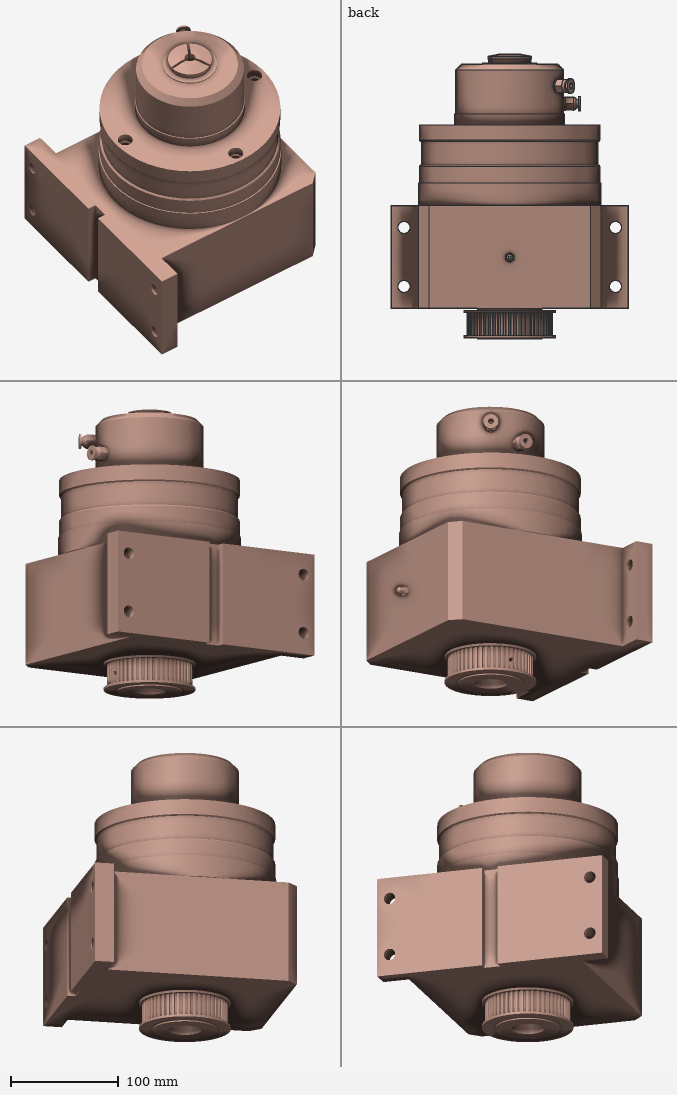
import cadquery as cq
TOTAL_HEIGHT = 264.0
MOUNT_WIDTH = 220.0
TOTAL_DEPTH = 210.0

MOUNT_FACE_Y = -109.8
MOUNT_THICKNESS = 17.7
BODY_WIDTH = 169.5
BODY_BACK_Y = 89.5
BODY_CORNER_CHAMFER = 10.0
BRACKET_BOTTOM = 28.5
BRACKET_HEIGHT = 95.0
BRACKET_TOP = BRACKET_BOTTOM + BRACKET_HEIGHT
KEYWAY_WIDTH = 15.3
KEYWAY_DEPTH = 8.0
MOUNT_HOLE_DIAMETER = 11.0
MOUNT_HOLE_SPACING_X = 196.0
MOUNT_HOLE_SPACING_Z = 54.6

BASE_RING_DIAMETER = 169.5
BASE_RING_TOP = 144.5
BASE_RING_CHAMFER = 0.8
BEARING_DIAMETER = 167.6
BEARING_LIP_TOP = 161.0
BEARING_FLANGE_BOTTOM = 183.2
BEARING_TOP = 198.5
BEARING_CHAMFER = 1.0
WAIST_DIAMETER = 164.0

SCREW_COUNT = 4
SCREW_CIRCLE_RADIUS = 73.5
COUNTERBORE_DIAMETER = 14.0
COUNTERBORE_DEPTH = 7.7
CLEARANCE_DIAMETER = 8.7
THREAD_DIAMETER = 5.5
THREAD_LEAD_IN_DIAMETER = 6.9
THREAD_LEAD_IN_DEPTH = 1.3
THREAD_DEPTH = 10.5

NOSE_DIAMETER = 100.0
NOSE_BAND_DIAMETER = 102.0
NOSE_BAND_TOP = 208.5
NOSE_TOP = 254.8
NOSE_CHAMFER = 5.5

SPINDLE_DIAMETER = 50.2
SPINDLE_TOP = 255.8
SPINDLE_BORE = 30.4
MOUTH_DIAMETER = 39.0
MOUTH_DEPTH = 6.5

COLLET_DIAMETER = 40.7
COLLET_RIM_BOTTOM = 259.2
COLLET_RIM_TOP = 262.0
COLLET_FACE_DIAMETER = 19.0
COLLET_BORE = 10.0
COLLET_LENGTH = 79.2
COLLET_TAIL_BORE = 23.8
COLLET_TAIL_LENGTH = 26.5
COLLET_SLOT_WIDTH = 2.6
COLLET_SLOTS = 3

TOOTH_COUNT = 50
PULLEY_TIP_DIAMETER = 79.2
TOOTH_GAP_DEPTH = 1.8
GAP_MOUTH_WIDTH = 2.6
GAP_FLOOR_WIDTH = 1.8
HUB_DIAMETER = 60.0
FLANGE_DIAMETER = 85.0
FLANGE_THICKNESS = 2.0
LOWER_FLANGE_BOTTOM = 1.0
UPPER_FLANGE_BOTTOM = 24.5
SET_SCREW_DIAMETER = 4.2
SET_SCREW_Z = 13.2

FITTING_PLACES = [(180, 218.0), (150, 234.5)]
FITTING_STEM_DIAMETER = 10.0
FITTING_STEM_START = 45.0
FITTING_HEX_START = 51.7
FITTING_HEX_END = 59.1
FITTING_CONE_END = 61.5
FITTING_CAP_START = 63.5
FITTING_END = 65.5
FITTING_COLLAR_DIAMETER = 12.5
FITTING_HEX_CORNERS = 14.0
FITTING_NECK_DIAMETER = 8.0
FITTING_CAP_DIAMETER = 13.7
FITTING_HOLE_DIAMETER = 5.5
FITTING_HOLE_DEPTH = 8.0

NIPPLE_END_Y = MOUNT_FACE_Y + TOTAL_DEPTH
NIPPLE_Z = 75.5
NIPPLE_HEX_CORNERS = 9.0
NIPPLE_HEX_LENGTH = 3.7
NIPPLE_NECK_DIAMETER = 5.5
NIPPLE_NECK_LENGTH = 1.5
NIPPLE_BEAD_DIAMETER = 6.5
NIPPLE_BEAD_LENGTH = 1.5
NIPPLE_HEAD_DIAMETER = 6.0
NIPPLE_TIP_DIAMETER = 2.6
NIPPLE_TIP_LENGTH = 1.5


def cylinder(diameter, bottom, top):
    """Upright cylinder on the spindle axis."""
    return cq.Workplane("XY").workplane(offset=bottom).circle(diameter / 2).extrude(top - bottom)


def turned(profile):
    """Solid of revolution about the spindle axis from (radius, height) points."""
    return cq.Workplane("XZ").polyline(profile).close().revolve(360, (0, 0), (0, 1))


def make_spindle_passage():
    return cylinder(SPINDLE_DIAMETER, 0, TOTAL_HEIGHT)


def mount_bar(width, depth):
    """Bar of the bracket's full height, reaching from the mounting face by a depth along Y."""
    return (
        cq.Workplane("XY", origin=(0, MOUNT_FACE_Y + depth / 2, BRACKET_BOTTOM))
        .rect(width, abs(depth))
        .extrude(BRACKET_HEIGHT)
    )


def make_bracket():
    bracket = mount_bar(BODY_WIDTH, BODY_BACK_Y - MOUNT_FACE_Y)
    bracket = bracket.edges("|Z and >Y").chamfer(BODY_CORNER_CHAMFER)
    bracket = bracket.union(mount_bar(MOUNT_WIDTH, MOUNT_THICKNESS))
    bracket = bracket.cut(mount_bar(KEYWAY_WIDTH, KEYWAY_DEPTH))
    mount_holes = (
        cq.Workplane("XZ", origin=(0, MOUNT_FACE_Y, BRACKET_BOTTOM + BRACKET_HEIGHT / 2))
        .rarray(MOUNT_HOLE_SPACING_X, MOUNT_HOLE_SPACING_Z, 2, 2)
        .circle(MOUNT_HOLE_DIAMETER / 2)
        .extrude(-MOUNT_THICKNESS)
    )
    return bracket.cut(mount_holes).cut(make_spindle_passage())


def screw_holes(diameter, bottom, top):
    """Upright cylinders on the screw circle."""
    return (
        cq.Workplane("XY")
        .workplane(offset=bottom)
        .polarArray(SCREW_CIRCLE_RADIUS, 0, 360, SCREW_COUNT)
        .circle(diameter / 2)
        .extrude(top - bottom)
    )


def make_base_ring():
    ring = cylinder(BASE_RING_DIAMETER, BRACKET_TOP, BASE_RING_TOP).edges("<Z").chamfer(BASE_RING_CHAMFER)
    ring = ring.cut(screw_holes(THREAD_LEAD_IN_DIAMETER, BASE_RING_TOP - THREAD_LEAD_IN_DEPTH, BASE_RING_TOP))
    ring = ring.cut(screw_holes(THREAD_DIAMETER, BASE_RING_TOP - THREAD_DEPTH, BASE_RING_TOP))
    return ring.cut(make_spindle_passage())


def make_bearing_ring():
    lip = cylinder(BEARING_DIAMETER, BASE_RING_TOP, BEARING_LIP_TOP).edges(">Z").chamfer(BEARING_CHAMFER)
    waist = cylinder(WAIST_DIAMETER, BEARING_LIP_TOP, BEARING_FLANGE_BOTTOM)
    flange = cylinder(BEARING_DIAMETER, BEARING_FLANGE_BOTTOM, BEARING_TOP)
    flange = flange.edges("<Z").chamfer(BEARING_CHAMFER)
    ring = lip.union(waist).union(flange)
    ring = ring.cut(screw_holes(CLEARANCE_DIAMETER, BASE_RING_TOP, BEARING_TOP))
    ring = ring.cut(screw_holes(COUNTERBORE_DIAMETER, BEARING_TOP - COUNTERBORE_DEPTH, BEARING_TOP))
    return ring.cut(make_spindle_passage())


def place_radially(shape, direction, height):
    """Move a shape built along +Z so that it points outwards from the spindle axis."""
    along_x = shape.rotate((0, 0, 0), (0, 1, 0), 90)
    return along_x.rotate((0, 0, 0), (0, 0, 1), direction).translate((0, 0, height))


def make_nose():
    band = cylinder(NOSE_BAND_DIAMETER, BEARING_TOP, NOSE_BAND_TOP)
    cap = cylinder(NOSE_DIAMETER, NOSE_BAND_TOP, NOSE_TOP).edges(">Z").chamfer(NOSE_CHAMFER)
    nose = band.union(cap).cut(make_spindle_passage())
    for direction, height in FITTING_PLACES:
        socket = cylinder(FITTING_STEM_DIAMETER, FITTING_STEM_START, NOSE_DIAMETER)
        nose = nose.cut(place_radially(socket, direction, height))
    return nose


def make_spindle():
    mouth = [
        (0, SPINDLE_TOP - MOUTH_DEPTH),
        (SPINDLE_BORE / 2, SPINDLE_TOP - MOUTH_DEPTH),
        (MOUTH_DIAMETER / 2, SPINDLE_TOP),
        (0, SPINDLE_TOP),
    ]
    shaft = cylinder(SPINDLE_DIAMETER, 0, SPINDLE_TOP)
    return shaft.cut(cylinder(SPINDLE_BORE, 0, SPINDLE_TOP)).cut(turned(mouth))


def make_collet():
    collet_bottom = TOTAL_HEIGHT - COLLET_LENGTH
    tail_top = collet_bottom + COLLET_TAIL_LENGTH
    collet = turned(
        [
            (COLLET_BORE / 2, tail_top),
            (COLLET_TAIL_BORE / 2, tail_top),
            (COLLET_TAIL_BORE / 2, collet_bottom),
            (SPINDLE_BORE / 2, collet_bottom),
            (SPINDLE_BORE / 2, SPINDLE_TOP - MOUTH_DEPTH),
            (MOUTH_DIAMETER / 2, SPINDLE_TOP),
            (MOUTH_DIAMETER / 2, COLLET_RIM_BOTTOM),
            (COLLET_DIAMETER / 2, COLLET_RIM_BOTTOM),
            (COLLET_DIAMETER / 2, COLLET_RIM_TOP),
            (COLLET_FACE_DIAMETER / 2, TOTAL_HEIGHT),
            (COLLET_BORE / 2, TOTAL_HEIGHT),
        ]
    )
    slot = cq.Workplane("XY").box(
        COLLET_DIAMETER, COLLET_SLOT_WIDTH, TOTAL_HEIGHT - tail_top, centered=(False, True, False)
    )
    for index in range(COLLET_SLOTS):
        angle = -90 + index * 360 / COLLET_SLOTS
        collet = collet.cut(slot.translate((0, 0, tail_top)).rotate((0, 0, 0), (0, 0, 1), angle))
    return collet


def make_tooth_gaps(bottom, top):
    tip_radius = PULLEY_TIP_DIAMETER / 2
    floor_radius = tip_radius - TOOTH_GAP_DEPTH
    overshoot = TOOTH_GAP_DEPTH
    gap_outline = [
        (floor_radius, -GAP_FLOOR_WIDTH / 2),
        (tip_radius, -GAP_MOUTH_WIDTH / 2),
        (tip_radius + overshoot, -GAP_MOUTH_WIDTH / 2),
        (tip_radius + overshoot, GAP_MOUTH_WIDTH / 2),
        (tip_radius, GAP_MOUTH_WIDTH / 2),
        (floor_radius, GAP_FLOOR_WIDTH / 2),
    ]
    gap_face = cq.Workplane("XY").workplane(offset=bottom).polyline(gap_outline).close()
    gap = gap_face.extrude(top - bottom).val()
    pitch_angle = 360 / TOOTH_COUNT
    gaps = [gap.rotate((0, 0, 0), (0, 0, 1), (index + 0.5) * pitch_angle) for index in range(TOOTH_COUNT)]
    return cq.Workplane("XY").newObject([cq.Compound.makeCompound(gaps)])


def make_pulley():
    lower_flange_top = LOWER_FLANGE_BOTTOM + FLANGE_THICKNESS
    upper_flange_top = UPPER_FLANGE_BOTTOM + FLANGE_THICKNESS
    toothed = cylinder(PULLEY_TIP_DIAMETER, lower_flange_top, UPPER_FLANGE_BOTTOM)
    toothed = toothed.cut(make_tooth_gaps(lower_flange_top, UPPER_FLANGE_BOTTOM))
    lower_flange = cylinder(FLANGE_DIAMETER, LOWER_FLANGE_BOTTOM, lower_flange_top)
    upper_flange = cylinder(FLANGE_DIAMETER, UPPER_FLANGE_BOTTOM, upper_flange_top)
    pulley = (
        cylinder(HUB_DIAMETER, 0, BRACKET_BOTTOM)
        .union(toothed)
        .union(lower_flange)
        .union(upper_flange)
        .cut(make_spindle_passage())
    )
    set_screw_hole = cylinder(SET_SCREW_DIAMETER, 0, PULLEY_TIP_DIAMETER)
    return pulley.cut(place_radially(set_screw_hole, 180, SET_SCREW_Z))


def make_fitting(direction, height):
    """Push-in hose fitting, built along +Z with heights measured from the spindle axis."""
    nose_surface = NOSE_DIAMETER / 2
    stem = cylinder(FITTING_STEM_DIAMETER, FITTING_STEM_START, nose_surface)
    collar = cylinder(FITTING_COLLAR_DIAMETER, nose_surface, FITTING_HEX_START)
    hexagon = (
        cq.Workplane("XY")
        .workplane(offset=FITTING_HEX_START)
        .transformed(rotate=(0, 0, 90))
        .polygon(6, FITTING_HEX_CORNERS)
        .extrude(FITTING_HEX_END - FITTING_HEX_START)
    )
    cone = turned(
        [
            (0, FITTING_HEX_END),
            (FITTING_COLLAR_DIAMETER / 2, FITTING_HEX_END),
            (FITTING_STEM_DIAMETER / 2, FITTING_CONE_END),
            (0, FITTING_CONE_END),
        ]
    )
    neck = cylinder(FITTING_NECK_DIAMETER, FITTING_CONE_END, FITTING_CAP_START)
    cap = cylinder(FITTING_CAP_DIAMETER, FITTING_CAP_START, FITTING_END)
    hose_hole = cylinder(FITTING_HOLE_DIAMETER, FITTING_END - FITTING_HOLE_DEPTH, FITTING_END)
    fitting = stem.union(collar).union(hexagon).union(cone).union(neck).union(cap).cut(hose_hole)
    return place_radially(fitting, direction, height)


def make_nipple():
    length = NIPPLE_END_Y - BODY_BACK_Y
    bead_start = NIPPLE_HEX_LENGTH + NIPPLE_NECK_LENGTH
    bead_end = bead_start + NIPPLE_BEAD_LENGTH
    head_end = length - NIPPLE_TIP_LENGTH
    tip = [
        (0, head_end),
        (NIPPLE_HEAD_DIAMETER / 2, head_end),
        (NIPPLE_TIP_DIAMETER / 2, length),
        (0, length),
    ]
    nipple = (
        cq.Workplane("XY")
        .polygon(6, NIPPLE_HEX_CORNERS)
        .extrude(NIPPLE_HEX_LENGTH)
        .union(cylinder(NIPPLE_NECK_DIAMETER, NIPPLE_HEX_LENGTH, bead_start))
        .union(cylinder(NIPPLE_BEAD_DIAMETER, bead_start, bead_end))
        .union(cylinder(NIPPLE_HEAD_DIAMETER, bead_end, head_end))
        .union(turned(tip))
    )
    nipple = place_radially(nipple, 90, NIPPLE_Z)
    return nipple.translate((0, BODY_BACK_Y, 0))


bracket = make_bracket()
base_ring = make_base_ring()
bearing_ring = make_bearing_ring()
nose = make_nose()
spindle = make_spindle()
collet = make_collet()
pulley = make_pulley()
fittings = [make_fitting(direction, height) for direction, height in FITTING_PLACES]
nipple = make_nipple()

result = cq.Compound.makeCompound(
    [
        bracket.val(),
        base_ring.val(),
        bearing_ring.val(),
        nose.val(),
        spindle.val(),
        collet.val(),
        pulley.val(),
        *[fitting.val() for fitting in fittings],
        nipple.val(),
    ]
)